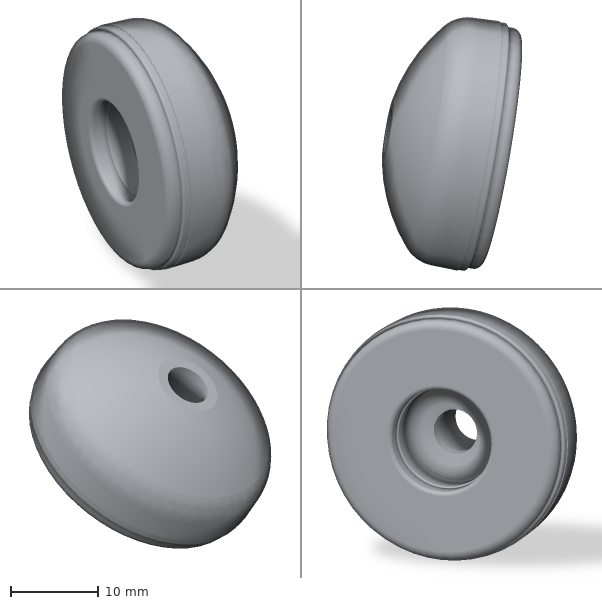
import cadquery as cq
import math


pad_radius = 14.0
pad_edge_fillet = 1.0
pad_thickness = 2.0
pad_bore_radius = 6.0
mouth_fillet = 0.5

lip_radius = 14.4
lip_fillet = 0.3
lip_front_y = 1.7
rim_front_y = 2.7
rim_radius = 14.5
rim_draft = 2.0
shoulder_fillet = 4.15
dome_radius = 19.8
end_flat_radius = 3.85
total_depth = 13.19

bore_radius = 5.8
bore_edge_fillet = pad_bore_radius - bore_radius
floor_y = 4.8
floor_fillet = 0.4
floor_radius = bore_radius - floor_fillet
floor_slope = 12.0
hole_radius = 2.6


def revolve_profile(outline):
    """Turn an outline of radius and y a full circle about the Y axis."""
    return outline.close().revolve(360, (0, 0, 0), (0, 1, 0))


def make_pad():
    outline = (
        cq.Workplane("XY")
        .moveTo(pad_bore_radius + mouth_fillet, 0)
        .lineTo(pad_radius - pad_edge_fillet, 0)
        .radiusArc((pad_radius, pad_edge_fillet), -pad_edge_fillet)
        .lineTo(pad_radius, pad_thickness)
        .lineTo(pad_bore_radius, pad_thickness)
        .lineTo(pad_bore_radius, mouth_fillet)
        .radiusArc((pad_bore_radius + mouth_fillet, 0), -mouth_fillet)
    )
    return revolve_profile(outline)


def make_cap():
    dome_center_y = total_depth - math.sqrt(dome_radius**2 - end_flat_radius**2)

    draft = math.radians(rim_draft)
    rim_height = rim_front_y - dome_center_y
    half_linear = rim_height * math.cos(draft) - rim_radius * math.sin(draft)
    constant = rim_radius**2 + rim_height**2 - dome_radius**2
    rim_length = -half_linear + math.sqrt(half_linear**2 - constant)
    corner_radius = rim_radius - rim_length * math.sin(draft)
    corner_y = rim_front_y + rim_length * math.cos(draft)

    floor_rise = (floor_radius - hole_radius) * math.tan(math.radians(floor_slope))
    outline = (
        cq.Workplane("XY")
        .moveTo(bore_radius + bore_edge_fillet, pad_thickness)
        .lineTo(pad_radius, pad_thickness)
        .lineTo(pad_radius, lip_front_y)
        .lineTo(lip_radius - lip_fillet, lip_front_y)
        .radiusArc((lip_radius, lip_front_y + lip_fillet), -lip_fillet)
        .lineTo(lip_radius, rim_front_y)
        .lineTo(rim_radius, rim_front_y)
        .lineTo(corner_radius, corner_y)
        .radiusArc((end_flat_radius, total_depth), -dome_radius)
        .lineTo(hole_radius, total_depth)
        .lineTo(hole_radius, floor_y + floor_rise)
        .lineTo(floor_radius, floor_y)
        .radiusArc((bore_radius, floor_y - floor_fillet), floor_fillet)
        .lineTo(bore_radius, pad_thickness + bore_edge_fillet)
        .radiusArc((bore_radius + bore_edge_fillet, pad_thickness), -bore_edge_fillet)
    )
    shoulder = cq.selectors.NearestToPointSelector((0, corner_y, 0))
    return revolve_profile(outline).edges("%CIRCLE").edges(shoulder).fillet(shoulder_fillet)


pad = make_pad()
cap = make_cap()
result = cq.Compound.makeCompound([pad.val(), cap.val()])